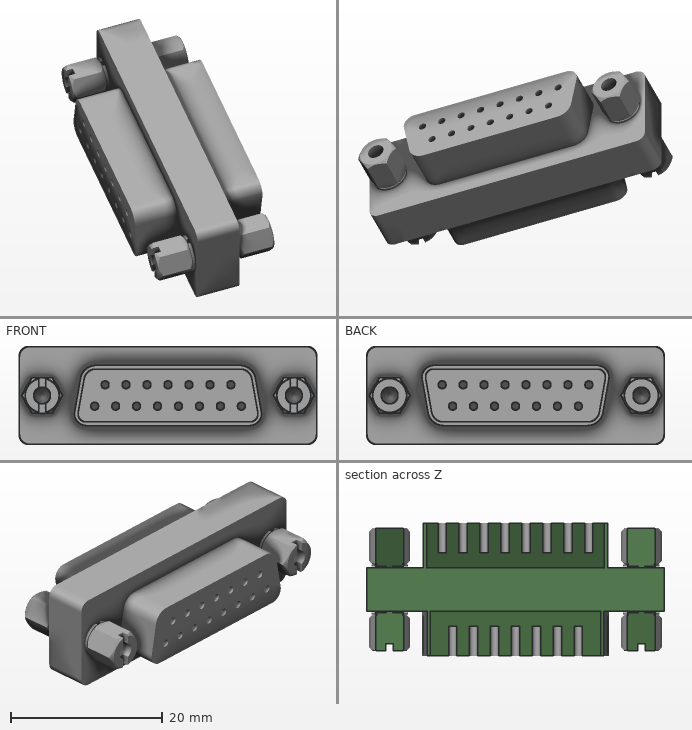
import cadquery as cq
import math

PLATE_LENGTH = 39.37
PLATE_THICKNESS = 5.85
PLATE_HEIGHT = 12.95
PLATE_CORNER_RADIUS = 1.3

TOTAL_DEPTH = 17.65
CONNECTOR_DEPTH = (TOTAL_DEPTH - PLATE_THICKNESS) / 2
D_HEIGHT = 7.95
D_HALF_WIDTH = 11.95
D_SIDE_SLOPE = 10.0
D_NARROW_RADIUS = 2.05
D_WIDE_RADIUS = 1.55
SHELL_WALL = 0.47

CONTACT_DIAMETER = 1.02
CONTACT_DEPTH = 3.95
CONTACT_ROW_SPAN = 19.4
CONTACTS_LONG_ROW = 8
CONTACT_PITCH = CONTACT_ROW_SPAN / (CONTACTS_LONG_ROW - 1)
CONTACT_ROW_OFFSET = 1.4

POST_OFFSET = 16.65
HEX_ACROSS_FLATS = 4.7
HEX_ACROSS_CORNERS = HEX_ACROSS_FLATS / math.cos(math.radians(30))
HEX_LENGTH = 4.8
HEX_END_DIAMETER = 4.5
HEX_CHAMFER_LENGTH = 0.47
COLLAR_DIAMETER = 4.8
COLLAR_LENGTH = 0.4
COLLAR_CLEARANCE = 0.08
COLLAR_INNER_DIAMETER = 3.0
COLLAR_GAP = 0.8
POST_HOLE_DIAMETER = 2.2
POST_HOLE_DEPTH = 3.15
POST_HOLE_TIP_ANGLE = 118.0
SLOT_WIDTH = 0.95
SLOT_DEPTH = 0.95

FRONT_FACE = -PLATE_THICKNESS / 2
FRONT_END = -TOTAL_DEPTH / 2


def turn_to_back(body):
    """Turn a front body half a turn about X, which puts it on the back of the plate."""
    return body.rotate((0, 0, 0), (1, 0, 0), 180)


def d_prism(inset):
    """D-shaped block in front of the plate, wide side down, with its outline moved inwards by inset."""
    slope = math.radians(D_SIDE_SLOPE)
    half_height = D_HEIGHT / 2 - inset
    middle_half_width = D_HALF_WIDTH - inset / math.cos(slope)
    flare = half_height * math.tan(slope)
    wide = middle_half_width + flare
    narrow = middle_half_width - flare
    corners = [(-wide, -half_height), (wide, -half_height), (narrow, half_height), (-narrow, half_height)]
    block = (
        cq.Workplane("XZ", origin=(0, FRONT_FACE, 0))
        .polyline(corners)
        .close()
        .extrude(CONNECTOR_DEPTH)
    )
    block = block.edges("|Y and >Z").fillet(D_NARROW_RADIUS - inset)
    return block.edges("|Y and <Z").fillet(D_WIDE_RADIUS - inset)


def make_housing():
    """Plate with a D-shaped shell on each side, open at its end."""
    plate = (
        cq.Workplane("XY")
        .box(PLATE_LENGTH, PLATE_THICKNESS, PLATE_HEIGHT)
        .edges("|Y")
        .fillet(PLATE_CORNER_RADIUS)
    )
    shell = d_prism(0).cut(d_prism(SHELL_WALL))
    return plate.union(shell).union(turn_to_back(shell))


def make_insert():
    """Contact carrier that fills the front shell, with two staggered rows of blind holes."""
    rows = [(CONTACTS_LONG_ROW, -CONTACT_ROW_OFFSET), (CONTACTS_LONG_ROW - 1, CONTACT_ROW_OFFSET)]
    points = []
    for count, z in rows:
        for i in range(count):
            points.append(((i - (count - 1) / 2) * CONTACT_PITCH, z))
    holes = (
        cq.Workplane("XZ", origin=(0, FRONT_END, 0))
        .pushPoints(points)
        .circle(CONTACT_DIAMETER / 2)
        .extrude(-CONTACT_DEPTH)
    )
    return d_prism(SHELL_WALL).cut(holes)


def make_collar():
    """Base of a post: a core, and round it a lock-washer ring that is split on its +Y side."""
    core = cq.Workplane("XY").circle(COLLAR_INNER_DIAMETER / 2).extrude(COLLAR_LENGTH)
    gap = (
        cq.Workplane("XY", origin=(0, COLLAR_DIAMETER / 2, 0))
        .rect(COLLAR_GAP, COLLAR_DIAMETER)
        .extrude(COLLAR_LENGTH)
    )
    ring = (
        cq.Workplane("XY", origin=(0, 0, COLLAR_CLEARANCE))
        .circle(COLLAR_DIAMETER / 2)
        .extrude(COLLAR_LENGTH - COLLAR_CLEARANCE)
        .cut(gap)
    )
    return ring.union(core)


def make_post(slotted):
    """Hexagonal post on the Z axis, with its collar at Z = 0 and a drilled hole in its top end."""
    top = COLLAR_LENGTH + HEX_LENGTH
    corner_radius = HEX_ACROSS_CORNERS / 2
    end_radius = HEX_END_DIAMETER / 2
    hexagon = (
        cq.Workplane("XY", origin=(0, 0, COLLAR_LENGTH))
        .polygon(6, HEX_ACROSS_CORNERS)
        .extrude(HEX_LENGTH)
    )
    envelope = (
        cq.Workplane("XZ")
        .polyline([
            (0, COLLAR_LENGTH),
            (end_radius, COLLAR_LENGTH),
            (corner_radius, COLLAR_LENGTH + HEX_CHAMFER_LENGTH),
            (corner_radius, top - HEX_CHAMFER_LENGTH),
            (end_radius, top),
            (0, top),
        ])
        .close()
        .revolve(360, (0, 0), (0, 1))
    )
    hole_radius = POST_HOLE_DIAMETER / 2
    tip_length = hole_radius / math.tan(math.radians(POST_HOLE_TIP_ANGLE / 2))
    hole_floor = top - POST_HOLE_DEPTH
    hole = (
        cq.Workplane("XZ")
        .polyline([(0, top), (hole_radius, top), (hole_radius, hole_floor), (0, hole_floor - tip_length)])
        .close()
        .revolve(360, (0, 0), (0, 1))
    )
    post = make_collar().union(hexagon.intersect(envelope)).cut(hole)
    if slotted:
        slot = (
            cq.Workplane("XY", origin=(0, 0, top - SLOT_DEPTH))
            .rect(SLOT_WIDTH, HEX_ACROSS_CORNERS)
            .extrude(SLOT_DEPTH)
        )
        post = post.cut(slot)
    return post


def place_on_front(post, x):
    """Point the post along -Y and stand it on the front face of the plate."""
    return post.rotate((0, 0, 0), (1, 0, 0), 90).translate((x, FRONT_FACE, 0))


housing = make_housing()

front_insert = make_insert()
inserts = [front_insert, turn_to_back(front_insert)]

slotted_posts = []
plain_posts = []
for x in (-POST_OFFSET, POST_OFFSET):
    slotted_posts.append(place_on_front(make_post(slotted=True), x))
    plain_posts.append(place_on_front(make_post(slotted=False), x).mirror("XZ"))

bodies = [housing, *inserts, *slotted_posts, *plain_posts]
result = cq.Compound.makeCompound([body.val() for body in bodies])